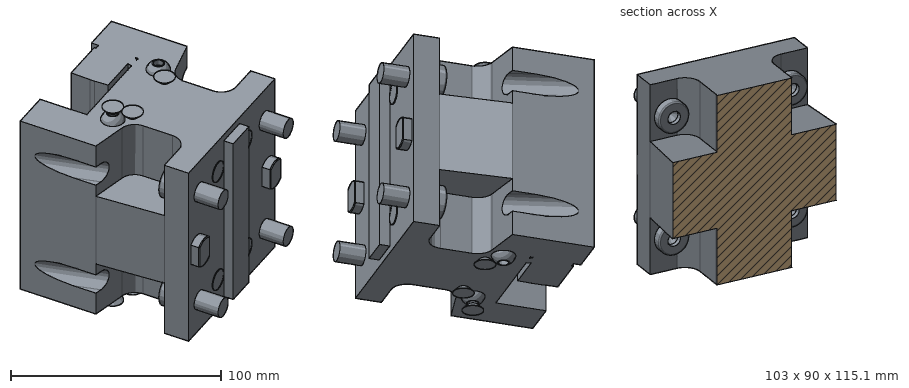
import cadquery as cq
import math

body_height = 100.0
body_half_height = body_height / 2
overall_height = 115.1
jaw_half_width = 45.0
jaw_length = 41.1
flange_back = 90.0
flange_front = 76.9
flange_half_width = 42.6

throat_depth = 25.3
throat_half_width = 25.3
gib_front = 2.9
gib_back = 23.0
gib_notch_x = 3.8
gib_notch_y = 22.9
gib_neck_y = 19.3
gib_neck_drop = 0.6
gib_corner_gap = 1.4
gib_crown_start = 13.4
gib_crown_end = 15.9
gib_crown_rise = 0.3
pin_diameter = 10.5
pin_y = 10.4

web_half_thickness = 20.1
pocket_floor_y = 20.1
pocket_floor_start = 46.4
pocket_radius = 8.0

bolt_offset = 32.1
shank_diameter = 10.0
bolt_end = 103.0
bolt_head_diameter = 16.3
bolt_head_height = 4.6
bolt_head_rounding = 0.7
bolt_socket_diameter = 6.7
bolt_socket_depth = 2.5
bolt_socket_cone_depth = bolt_socket_diameter / 2

groove_diameter = 10.8
groove_angle = 15.0
groove_tip_x = 7.9
groove_end_x = 54.1

upright_key_width = 15.5
upright_key_length = 92.7
upright_key_height = 5.1
locator_diameter = 15.4
locator_flat_width = 10.4
locator_y = 35.1
locator_height = 4.7
locator_chamfer = 0.5
pad_diameter = 10.8
pad_height = 0.5
pad_y = 13.9

button_x = 37.9
button_y = 22.5
button_radius = 5.9
button_top_radius = 3.0
button_height = 3.7
button_socket_diameter = 4.8
button_socket_depth = 3.0
csk_radius = 5.2
csk_shank_radius = 2.5
csk_rim = 0.2
csk_x = 44.9
csk_y = 15.8
csk_top = 52.7


def make_body():
    """Jaws, web and flange as one plan outline, extruded over the body height."""
    outline = [
        (0, -jaw_half_width),
        (jaw_length, -jaw_half_width),
        (flange_front, -flange_half_width),
        (flange_back, -flange_half_width),
        (flange_back, flange_half_width),
        (flange_front, flange_half_width),
        (jaw_length, jaw_half_width),
        (0, jaw_half_width),
        (0, throat_half_width),
        (throat_depth, throat_half_width),
        (throat_depth, -throat_half_width),
        (0, -throat_half_width),
    ]
    body = cq.Workplane("XY").polyline(outline).close().extrude(body_height)
    return body.translate((0, 0, -body_half_height))


def make_gib():
    """Gib hanging from the upper jaw, tied to the body by a short neck."""
    outline = [
        (gib_front, 0),
        (gib_crown_start, -gib_crown_rise),
        (gib_crown_end, -gib_crown_rise),
        (gib_back, 0),
        (gib_back, gib_neck_y),
        (throat_depth, gib_neck_y - gib_neck_drop),
        (throat_depth, throat_half_width - gib_corner_gap),
        (throat_depth - gib_corner_gap, throat_half_width),
        (gib_notch_x, throat_half_width),
        (gib_notch_x, gib_notch_y),
        (gib_front, gib_notch_y),
    ]
    gib = cq.Workplane("XY").polyline(outline).close().extrude(body_height)
    return gib.translate((0, 0, -body_half_height))


def make_gib_pin():
    """Pin that bridges the slot behind the gib."""
    pin = cq.Workplane("YZ", origin=(gib_back, pin_y, 0))
    return pin.circle(pin_diameter / 2).extrude(throat_depth - gib_back)


def make_pocket():
    """Pocket above the web on the +Y side, with two rounded inner edges."""
    beyond_side = 2 * jaw_half_width
    wall_slope = (pocket_floor_start - jaw_length) / (jaw_half_width - pocket_floor_y)
    wall_end_x = jaw_length - wall_slope * (beyond_side - jaw_half_width)
    outline = [
        (pocket_floor_start, pocket_floor_y),
        (flange_front, pocket_floor_y),
        (flange_front, beyond_side),
        (wall_end_x, beyond_side),
    ]
    pocket = cq.Workplane("XY", origin=(0, 0, web_half_thickness)).polyline(outline).close()
    pocket = pocket.extrude(body_half_height - web_half_thickness)
    return pocket.edges("|Z").edges("<Y").fillet(pocket_radius)


def make_groove():
    """Groove in the -Y jaw face, slanting inwards to the bolt at +Z.

    Its floor is a half cylinder, and straight walls rise from it to the outside.
    """
    angle = math.radians(groove_angle)
    radius = groove_diameter / 2
    axis_x = groove_tip_x + radius / math.sin(angle)
    direction = (math.cos(angle), math.sin(angle), 0)
    back_off = 2 * radius / math.tan(angle)
    start = (
        axis_x - back_off * direction[0],
        -jaw_half_width - back_off * direction[1],
        bolt_offset,
    )
    length = back_off + (groove_end_x - axis_x) / direction[0]
    plane = cq.Plane(origin=start, xDir=(0, 0, 1), normal=direction)
    floor = cq.Workplane(plane).circle(radius).extrude(length)
    walls = cq.Workplane(plane).center(0, radius)
    walls = walls.rect(groove_diameter, groove_diameter).extrude(length)
    return floor.union(walls)


def make_bolt_socket():
    """Round recess along X with a 90 degree cone at the bottom, starting at the origin."""
    outline = [
        (0, 0),
        (0, bolt_socket_diameter / 2),
        (bolt_socket_depth, bolt_socket_diameter / 2),
        (bolt_socket_depth + bolt_socket_cone_depth, 0),
    ]
    profile = cq.Workplane("XY").polyline(outline).close()
    return profile.revolve(360, (0, 0, 0), (1, 0, 0))


def make_bolt(y, z):
    """Bolt through the flange, without its socket; the head lies on the pocket side."""
    head_face = flange_front - bolt_head_height
    head = cq.Workplane("YZ", origin=(head_face, y, z))
    head = head.circle(bolt_head_diameter / 2).extrude(bolt_head_height)
    head = head.faces("<X").edges().fillet(bolt_head_rounding)
    shank = cq.Workplane("YZ", origin=(flange_front, y, z))
    shank = shank.circle(shank_diameter / 2).extrude(bolt_end - flange_front)
    return head.union(shank)


def make_key():
    """Upright key on the back of the flange."""
    key = cq.Workplane("YZ", origin=(flange_back, 0, 0))
    return key.rect(upright_key_width, upright_key_length).extrude(upright_key_height)


def make_locator(y):
    """Round locating stud with two flats on the back of the flange."""
    base = cq.Workplane("YZ", origin=(flange_back, y, 0))
    stud = base.circle(locator_diameter / 2).extrude(locator_height)
    flats = base.rect(locator_flat_width, locator_diameter).extrude(locator_height)
    stud = stud.intersect(flats)
    return stud.faces(">X").edges().chamfer(locator_chamfer)


def make_pad(y, z):
    """Thin round pad on the back of the flange."""
    pad = cq.Workplane("YZ", origin=(flange_back, y, z))
    return pad.circle(pad_diameter / 2).extrude(pad_height)


def make_button_head():
    """Domed screw head on the top end, part of a sphere with a flat top."""
    centre = (button_top_radius**2 + button_height**2 - button_radius**2) / (2 * button_height)
    sphere_radius = math.hypot(button_radius, centre)
    base_angle = math.atan2(-centre, button_radius)
    top_angle = math.atan2(button_height - centre, button_top_radius)
    mid_angle = (base_angle + top_angle) / 2
    mid_point = (
        sphere_radius * math.cos(mid_angle),
        centre + sphere_radius * math.sin(mid_angle),
    )
    profile = (
        cq.Workplane("XZ")
        .lineTo(button_radius, 0)
        .threePointArc(mid_point, (button_top_radius, button_height))
        .lineTo(0, button_height)
        .close()
    )
    return profile.revolve(360, (0, 0, 0), (0, 1, 0)).translate((0, 0, body_half_height))


def make_button_socket():
    """Round recess for a domed screw head."""
    floor = body_half_height + button_height - button_socket_depth
    recess = cq.Workplane("XY", origin=(0, 0, floor))
    return recess.circle(button_socket_diameter / 2).extrude(button_socket_depth)


def make_countersunk_screw(top):
    """Countersunk screw standing proud of the top end, 45 degree cone under a thin rim."""
    rim_base = top - csk_rim
    cone_base = rim_base - (csk_radius - csk_shank_radius)
    outline = [
        (0, body_half_height),
        (csk_shank_radius, body_half_height),
        (csk_shank_radius, cone_base),
        (csk_radius, rim_base),
        (csk_radius, top),
        (0, top),
    ]
    profile = cq.Workplane("XZ").polyline(outline).close()
    return profile.revolve(360, (0, 0, 0), (0, 1, 0))


def make_end_screws():
    """All screws on the top end: two domed heads and three countersunk screws."""
    socket_head = make_button_head().cut(make_button_socket())
    filled_head = make_button_head().union(make_countersunk_screw(overall_height / 2))
    screws = socket_head.translate((button_x, button_y, 0))
    screws = screws.union(filled_head.translate((button_x, -button_y, 0)))
    for y in (csk_y, -csk_y):
        screws = screws.union(make_countersunk_screw(csk_top).translate((csk_x, y, 0)))
    return screws


def both_sides(shape, plane):
    """The shape together with its mirror image in a plane through the origin."""
    return shape.union(shape.mirror(plane))


pockets = both_sides(both_sides(make_pocket(), "XZ"), "XY")
grooves = both_sides(both_sides(make_groove(), "XZ"), "XY")

result = make_body().cut(pockets).cut(grooves)
result = result.union(make_gib()).union(make_gib_pin()).union(make_key())

for side_y in (1, -1):
    result = result.union(make_locator(side_y * locator_y))
    for side_z in (1, -1):
        result = result.union(make_bolt(side_y * bolt_offset, side_z * bolt_offset))
        result = result.union(make_pad(side_y * pad_y, side_z * bolt_offset))

for side_y in (1, -1):
    for side_z in (1, -1):
        head_centre = (flange_front - bolt_head_height, side_y * bolt_offset, side_z * bolt_offset)
        result = result.cut(make_bolt_socket().translate(head_centre))

result = result.union(both_sides(make_end_screws(), "XY"))